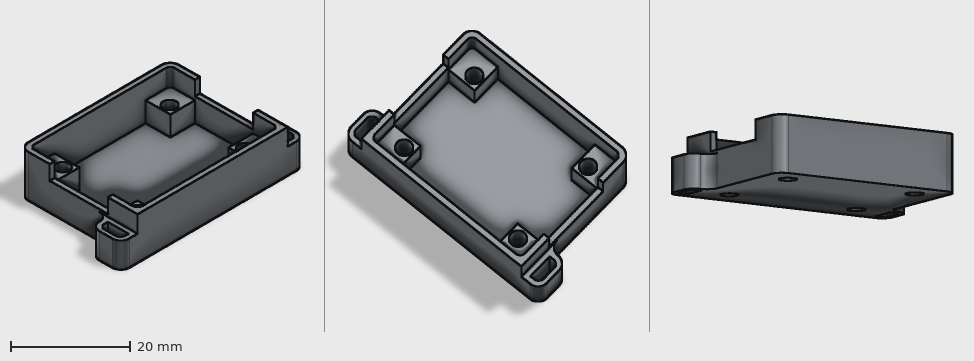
import cadquery as cq

width = 27.8
overall_length = 43.8
height = 10.0

tab_length = 4.0
body_length = overall_length - 2 * tab_length
corner_radius = tab_length / 2
side_wall = 1.2
end_wall = 1.2
floor_thickness = 1.1
cavity_width = width - 2 * side_wall
cavity_length = body_length - 2 * end_wall
cavity_radius = 1.0

post_reach = 7.05
post_top = 5.8
hole_diameter = 3.02
hole_spacing_x = 17.8
hole_spacing_y = 25.5

notch_width = width - 2 * post_reach
notch_depth = 3.4

tab_width = post_reach
tab_height = 6.0
slot_side_margin = 1.1
slot_outer_margin = 0.95
slot_length = 1.93
slot_radius = corner_radius - slot_outer_margin

right_side = width / 2
body_end = body_length / 2


def make_body():
    """Block with rounded corners on the -X side and square ones on +X."""
    block = cq.Workplane("XY").box(width, body_length, height, centered=(True, True, False))
    return block.edges("|Z and <X").fillet(corner_radius)


def make_cavity():
    """Open pocket, leaving the four corner posts standing on the floor."""
    pocket = (
        cq.Workplane("XY")
        .workplane(offset=floor_thickness)
        .rect(cavity_width, cavity_length)
        .extrude(height - floor_thickness)
        .edges("|Z")
        .fillet(cavity_radius)
    )
    posts = (
        cq.Workplane("XY")
        .rect(width - post_reach, body_length - post_reach, forConstruction=True)
        .vertices()
        .rect(post_reach, post_reach)
        .extrude(post_top)
    )
    return pocket.cut(posts)


def make_tab():
    """Strap tab on the +Y end, blended into the end wall by a concave arc."""
    left = right_side - tab_width
    tip = body_end + tab_length
    arc_level = body_end + corner_radius
    outline = (
        cq.Workplane("XY")
        .moveTo(left - corner_radius, body_end)
        .radiusArc((left, arc_level), -corner_radius)
        .radiusArc((left + corner_radius, tip), corner_radius)
        .lineTo(right_side - corner_radius, tip)
        .radiusArc((right_side, arc_level), corner_radius)
        .lineTo(right_side, body_end - end_wall)
        .lineTo(left - corner_radius, body_end - end_wall)
        .close()
        .extrude(tab_height)
    )
    slot = (
        cq.Workplane("XY")
        .center(right_side - tab_width / 2, tip - slot_outer_margin - slot_length / 2)
        .rect(tab_width - 2 * slot_side_margin, slot_length)
        .extrude(tab_height)
        .edges("|Z and >Y")
        .fillet(slot_radius)
    )
    return outline.cut(slot)


def make_screw_holes():
    return (
        cq.Workplane("XY")
        .rect(hole_spacing_x, hole_spacing_y, forConstruction=True)
        .vertices()
        .circle(hole_diameter / 2)
        .extrude(height)
    )


def make_notches():
    """One cut from end to end, opening both end walls."""
    return (
        cq.Workplane("XY")
        .workplane(offset=height - notch_depth)
        .rect(notch_width, body_length)
        .extrude(notch_depth)
    )


tab = make_tab()
result = (
    make_body()
    .union(tab)
    .union(tab.mirror("XZ"))
    .cut(make_cavity())
    .cut(make_screw_holes())
    .cut(make_notches())
)